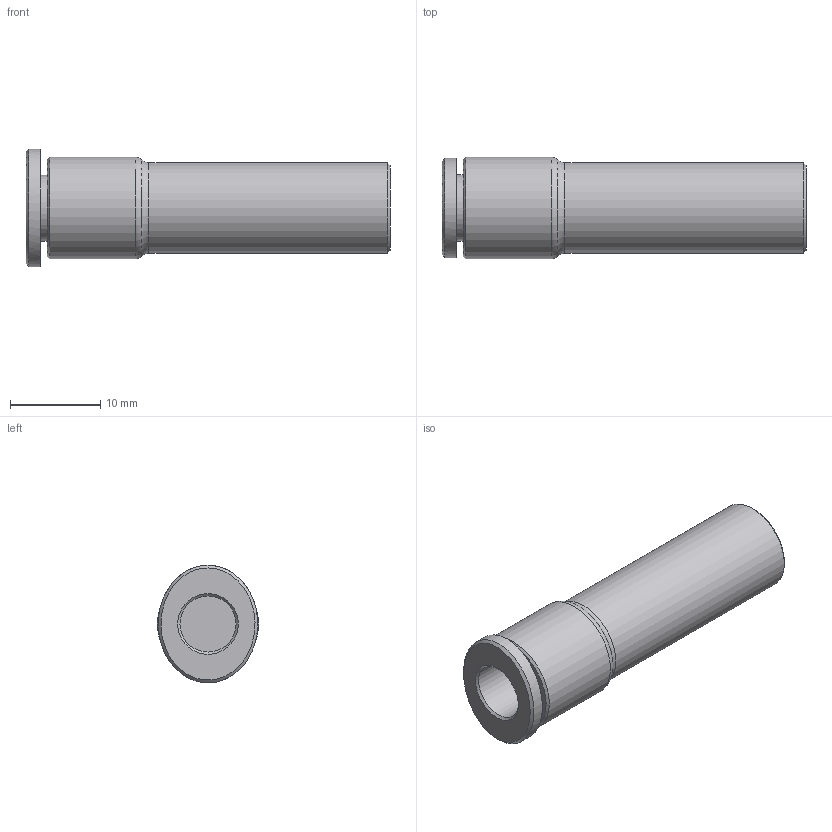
import cadquery as cq

TOTAL_LENGTH = 40.25

FLANGE_WIDTH = 11.0
FLANGE_HEIGHT = 13.0
FLANGE_THICKNESS = 1.6
FLANGE_CHAMFER = 0.3

NECK_DIAMETER = 7.3
NECK_LENGTH = 0.75

BODY_DIAMETER = 11.2
BODY_CHAMFER = 0.25
BODY_CYLINDER_END = 12.15

STEM_DIAMETER = 10.0
SHOULDER_LENGTH = 1.45
SHOULDER_BLEND_X = 12.8

TIP_CHAMFER = 0.3

BORE_DIAMETER = 6.2
BORE_CHAMFER = 0.25
BORE_DEPTH = 17.0

BODY_START = FLANGE_THICKNESS + NECK_LENGTH
SHOULDER_END = BODY_CYLINDER_END + SHOULDER_LENGTH


def make_flange():
    """Elliptical plate with a chamfered front rim."""
    return (
        cq.Workplane("YZ")
        .ellipse(FLANGE_WIDTH / 2, FLANGE_HEIGHT / 2)
        .extrude(FLANGE_THICKNESS)
        .faces("<X")
        .chamfer(FLANGE_CHAMFER)
    )


def make_turned_body():
    """Neck, body, shoulder and stem revolved about the X axis."""
    neck_radius = NECK_DIAMETER / 2
    body_radius = BODY_DIAMETER / 2
    stem_radius = STEM_DIAMETER / 2
    blend_fraction = (SHOULDER_BLEND_X - BODY_CYLINDER_END) / SHOULDER_LENGTH
    blend_radius = body_radius - blend_fraction * (body_radius - stem_radius)
    profile = (
        cq.Workplane("XY")
        .moveTo(FLANGE_THICKNESS, 0)
        .lineTo(FLANGE_THICKNESS, neck_radius)
        .lineTo(BODY_START, neck_radius)
        .lineTo(BODY_START, body_radius - BODY_CHAMFER)
        .lineTo(BODY_START + BODY_CHAMFER, body_radius)
        .lineTo(BODY_CYLINDER_END, body_radius)
        .tangentArcPoint((SHOULDER_BLEND_X, blend_radius), relative=False)
        .tangentArcPoint((SHOULDER_END, stem_radius), relative=False)
        .lineTo(TOTAL_LENGTH - TIP_CHAMFER, stem_radius)
        .lineTo(TOTAL_LENGTH, stem_radius - TIP_CHAMFER)
        .lineTo(TOTAL_LENGTH, 0)
        .close()
    )
    return profile.revolve(360, (0, 0, 0), (1, 0, 0))


def make_bore():
    """Blind bore with a chamfered mouth, as a cutting solid."""
    bore_radius = BORE_DIAMETER / 2
    profile = (
        cq.Workplane("XY")
        .lineTo(0, bore_radius + BORE_CHAMFER)
        .lineTo(BORE_CHAMFER, bore_radius)
        .lineTo(BORE_DEPTH, bore_radius)
        .lineTo(BORE_DEPTH, 0)
        .close()
    )
    return profile.revolve(360, (0, 0, 0), (1, 0, 0))


result = make_flange().union(make_turned_body()).cut(make_bore())